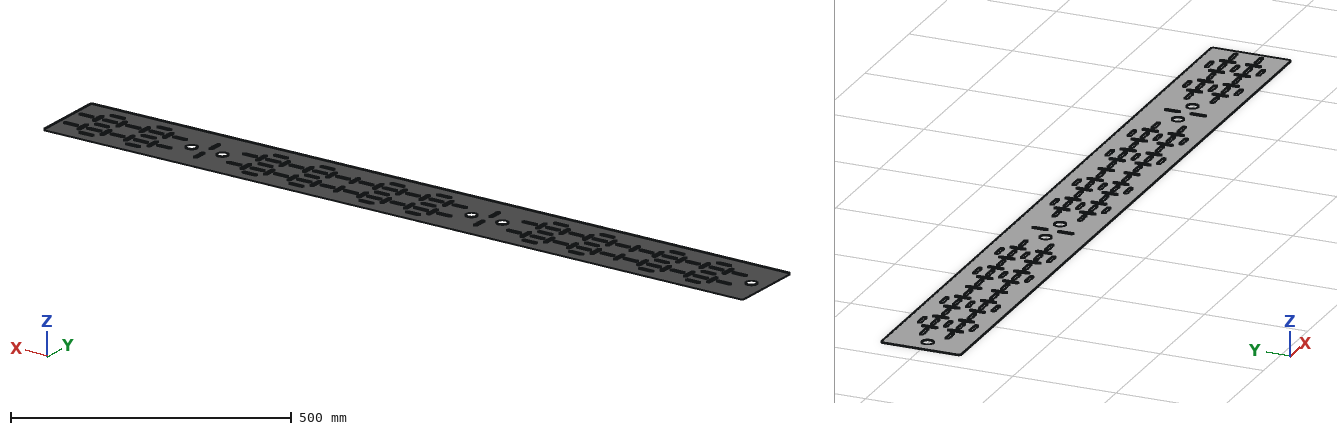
import cadquery as cq

length = 1500.0
width = 155.0
thickness = 2.0
corner_radius = 5.0

modules_per_plate = 2.5
modules_started = 3
cells_per_module = 12
module_length = length / modules_per_plate
pitch = module_length / cells_per_module

slot_length = 30.0
slot_width = 7.0
hole_diameter = 22.0
hole_offset = 33.0

long_slot_cells = range(1, 11)
cross_slot_lines = [0, *range(2, 11)]
cluster_cells = (2, 4, 7, 9)
pair_rows = (-pitch / 2, pitch / 2)
cluster_rows = (-pitch, 0, pitch)


def repeat_along_plate(positions, rows):
    """Repeat the positions of one module, on every row, wherever an opening fits between the ends."""
    end_margin = slot_length / 2
    points = []
    for module in range(modules_started):
        for position in positions:
            x = module * module_length + position
            if end_margin < x < length - end_margin:
                points += [(x, y) for y in rows]
    return points


def mid_cells(cells):
    return [(cell + 0.5) * pitch for cell in cells]


def slot_cutter(points, angle):
    return cq.Workplane("XY").pushPoints(points).slot2D(slot_length, slot_width, angle).extrude(thickness)


def hole_cutter(points):
    return cq.Workplane("XY").pushPoints(points).circle(hole_diameter / 2).extrude(thickness)


plate = (
    cq.Workplane("XY")
    .box(length, width, thickness, centered=(False, True, False))
    .edges("|Z")
    .fillet(corner_radius)
)

long_slots = repeat_along_plate(mid_cells(long_slot_cells), pair_rows)
long_slots += repeat_along_plate(mid_cells(cluster_cells), cluster_rows)

cross_slots = repeat_along_plate([line * pitch for line in cross_slot_lines], pair_rows)

holes = repeat_along_plate([-hole_offset, hole_offset], [0])

result = (
    plate.cut(slot_cutter(long_slots, 0))
    .cut(slot_cutter(cross_slots, 90))
    .cut(hole_cutter(holes))
)